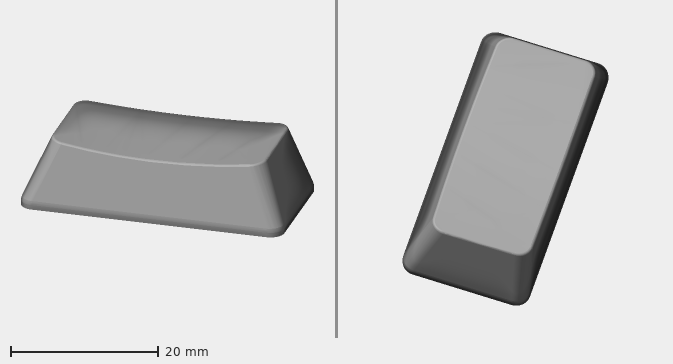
import cadquery as cq
import math

length = 37.2
width = 18.15
corner_radius = 1.97
skirt_height = 0.67
bend_top = 1.23

end_lean = 0.42
front_lean = 0.4
back_lean = 0.085

dish_span = 29.75
front_dish_middle = 7.95
front_dish_end = 9.15
back_dish_middle = 8.82
back_dish_end = 9.38
rim_radius = 0.37

blank_height = 10.42
cutter_length = 1.2 * length
cutter_top = 1.5 * blank_height


def wall_inset(lean, height):
    """Distance a wall has moved inward at a height: upright, then an arc, then straight."""
    bend_rise = bend_top - skirt_height
    arc_radius = bend_rise / math.sin(math.atan(lean))
    arc_rise = min(max(height - skirt_height, 0), bend_rise)
    arc_inset = arc_radius - math.sqrt(arc_radius**2 - arc_rise**2)
    return arc_inset + lean * max(height - bend_top, 0)


def outline(height):
    """Rounded rectangle bounded by the four walls at the given height."""
    end_inset = wall_inset(end_lean, height)
    front_inset = wall_inset(front_lean, height)
    back_inset = wall_inset(back_lean, height)
    section = cq.Sketch().rect(length - 2 * end_inset, width - front_inset - back_inset)
    section = section.vertices().fillet(corner_radius)
    shift = cq.Vector(0, (front_inset - back_inset) / 2, height)
    return section.moved(cq.Location(shift))


def tapered_blank():
    """Upright skirt, rounded bend and leaning walls, with rounded corners throughout."""
    bend_middle = (skirt_height + bend_top) / 2
    bend_sections = [outline(height) for height in (skirt_height, bend_middle, bend_top)]
    skirt = cq.Workplane().placeSketch(outline(0), bend_sections[0]).loft(ruled=True)
    bend = cq.Workplane().placeSketch(*bend_sections).loft()
    walls = cq.Workplane().placeSketch(bend_sections[-1], outline(blank_height)).loft(ruled=True)
    return skirt.union(bend).union(walls)


def dish_profile(y, middle_height, end_height):
    """Closed XZ profile at depth y whose lower side is an arc sagging at the middle."""
    sag = end_height - middle_height
    arc_radius = ((dish_span / 2) ** 2 + sag**2) / (2 * sag)
    reach = cutter_length / 2
    reach_height = middle_height + arc_radius - math.sqrt(arc_radius**2 - reach**2)
    return (
        cq.Workplane("XZ", origin=(0, y, 0))
        .moveTo(-reach, reach_height)
        .threePointArc((0, middle_height), (reach, reach_height))
        .lineTo(reach, cutter_top)
        .lineTo(-reach, cutter_top)
        .close()
        .val()
    )


def dish_cutter():
    """Everything above the ruled surface between the front and back arcs."""
    front = dish_profile(-width / 2, front_dish_middle, front_dish_end)
    back = dish_profile(width / 2, back_dish_middle, back_dish_end)
    return cq.Workplane(cq.Solid.makeLoft([front, back], True))


def rim_zone():
    """Selects the edges lying wholly in the upper half, which are those around the dish."""
    lower_corner = (-length, -width, blank_height / 2)
    upper_corner = (length, width, blank_height)
    return cq.selectors.BoxSelector(lower_corner, upper_corner, boundingbox=True)


dished = tapered_blank().cut(dish_cutter())
result = dished.edges(rim_zone()).fillet(rim_radius)